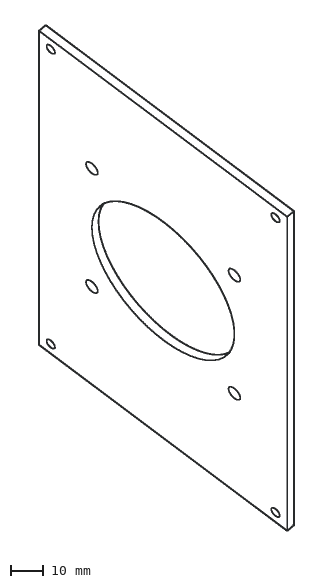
import cadquery as cq

width = 104.5
height = 159.5
thickness = 3.0

opening_diameter = 60.0
opening_screw_spacing = opening_diameter
opening_screw_diameter = 5.0

corner_hole_diameter = 3.5
corner_hole_inset = 5.0


def drill_rectangle(plate, spacing_x, spacing_z, diameter):
    """Drill a through hole at each corner of a centred rectangle."""
    return (
        plate.faces("<Y")
        .workplane(origin=(0, 0, 0))
        .rect(spacing_x, spacing_z, forConstruction=True)
        .vertices()
        .hole(diameter)
    )


plate = cq.Workplane("XY").box(width, thickness, height)
plate = plate.faces("<Y").workplane(origin=(0, 0, 0)).hole(opening_diameter)
plate = drill_rectangle(plate, opening_screw_spacing, opening_screw_spacing, opening_screw_diameter)
plate = drill_rectangle(
    plate,
    width - 2 * corner_hole_inset,
    height - 2 * corner_hole_inset,
    corner_hole_diameter,
)

result = plate